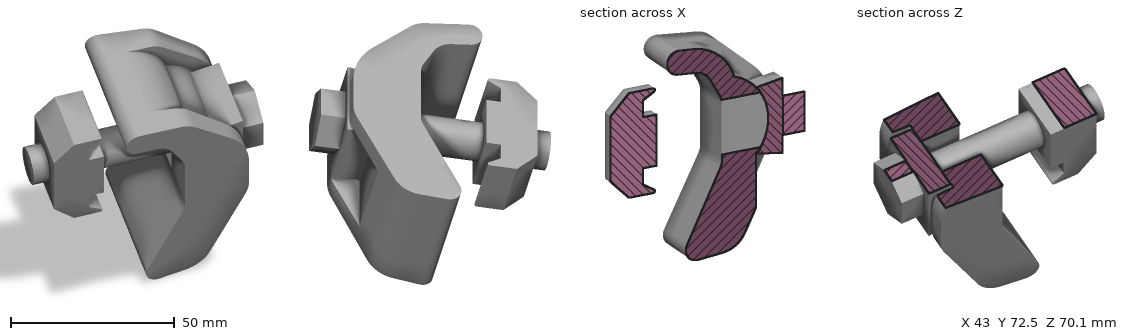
import cadquery as cq
import math


shank_diameter = 12.0
shank_length = 64.9
head_height = 7.6
head_across_flats = 17.9

washer_width = 24.4
washer_height = 24.8
washer_taper = 9.0
saddle_top_y = -5.15
saddle_radius = 16.7

back_y = -0.3
inner_y = -21.1
upper_back_corner = (back_y, 9.9)
lower_back_corner = (back_y, -11.0)
shoulder_y = -19.8
hook_tilt = math.radians(5)
hook_radius = 4.0
hook_center = (-36.2, 24.0)
hook_root_y = -26.9
upper_inner_corner = (inner_y, 9.05)
lower_inner_corner = (inner_y, -11.95)
toe_front_corner = (-36.5, -42.7)
toe_back_corner = (-15.45, -40.8)
upper_back_radius = 17.05
shoulder_radius = 8.0
hook_root_radius = 6.5
upper_inner_radius = 7.4
lower_inner_radius = 6.5
toe_radius = 4.0
lower_back_radius = 10.0

side_taper = math.tan(math.radians(3))
clamp_back_half_width = 19.4
channel_back_half_width = 14.0
channel_step_y = -16.75
channel_end_y = -29.95
step_radius = 17.0
saddle_lower_z = 10.9
slot_width = 13.2
slot_height = 17.8
touching = 7.25e-07
clearance = 7.25

nut_width = 20.2
nut_neck_y = -43.8
nut_shoulder_y = -48.4
nut_chamfer_y = -53.35
nut_front_y = -59.8
nut_half_height = 17.25
nut_neck_half_height = 8.5
nut_front_half_height = 10.8
lip_root_z = 13.85
lip_angle = math.radians(30)
lip_radius = 0.65


def rounded_outline(corners):
    """Closed YZ face outline from (y, z, radius) corners; radius 0 leaves a sharp corner."""
    edges = []
    ends = []
    for i, (y, z, radius) in enumerate(corners):
        corner = cq.Vector(0, y, z)
        before = (cq.Vector(0, *corners[i - 1][:2]) - corner).normalized()
        after = (cq.Vector(0, *corners[(i + 1) % len(corners)][:2]) - corner).normalized()
        half_angle = before.getAngle(after) / 2
        tangent_length = radius / math.tan(half_angle)
        start = corner + before * tangent_length
        end = corner + after * tangent_length
        ends.append((start, end))
        if radius > 0:
            bisector = (before + after).normalized()
            middle = corner + bisector * (radius / math.sin(half_angle) - radius)
            edges.append(cq.Edge.makeThreePointArc(start, middle, end))
    for i, (start, _) in enumerate(ends):
        previous_end = ends[i - 1][1]
        if (start - previous_end).Length > touching:
            edges.append(cq.Edge.makeLine(previous_end, start))
    return cq.Wire.combine(edges)[0]


def extrude_profile(corners, width):
    """Solid with a rounded YZ outline, centered across X."""
    outline = rounded_outline(corners)
    solid = cq.Solid.extrudeLinear(outline, [], cq.Vector(width, 0, 0))
    return cq.Workplane(solid.translate(cq.Vector(-width / 2, 0, 0)))


def tapered_block(back_half_width, taper):
    """Tall block whose half width at back_y is given and grows by taper toward -Y."""
    y_rear = back_y + clearance
    y_front = hook_center[0] - hook_radius - clearance
    rear = back_half_width + taper * (back_y - y_rear)
    front = back_half_width + taper * (back_y - y_front)
    height = 2 * (abs(toe_front_corner[1]) + clearance)
    return (
        cq.Workplane("XY")
        .polyline([(-rear, y_rear), (rear, y_rear), (front, y_front), (-front, y_front)])
        .close()
        .extrude(height / 2, both=True)
    )


def hook_top_z(y):
    """Height of the hook's upper face, which rises toward -Y."""
    return hook_center[1] + hook_radius / math.cos(hook_tilt) + (hook_center[0] - y) * math.tan(hook_tilt)


def hook_point(forward, upward):
    """Point offset from the hook-tip center along and across the tilted hook."""
    return (
        hook_center[0] - forward * math.cos(hook_tilt) + upward * math.sin(hook_tilt),
        hook_center[1] + forward * math.sin(hook_tilt) + upward * math.cos(hook_tilt),
    )


def saddle_cylinder():
    """Cylinder across X that the washer rests on."""
    return (
        cq.Workplane("YZ")
        .center(saddle_top_y - saddle_radius, 0)
        .circle(saddle_radius)
        .extrude(washer_width, both=True)
    )


def bolt_hole():
    """Hole along the bolt axis that fits the shank."""
    return cq.Workplane("XZ").circle(shank_diameter / 2).extrude(shank_length)


def make_bolt():
    corner_diameter = head_across_flats / math.cos(math.radians(30))
    head = (
        cq.Workplane("XZ")
        .transformed(rotate=(0, 0, 90))
        .polygon(6, corner_diameter)
        .extrude(-head_height)
    )
    return head.union(bolt_hole())


def make_washer():
    half_height = washer_height / 2
    depth = saddle_radius - saddle_top_y
    end_half_height = half_height - depth * math.tan(math.radians(washer_taper))
    block = (
        cq.Workplane("YZ")
        .polyline([
            (0, half_height),
            (-depth, end_half_height),
            (-depth, -end_half_height),
            (0, -half_height),
        ])
        .close()
        .extrude(washer_width / 2, both=True)
    )
    return block.cut(saddle_cylinder()).cut(bolt_hole())


def saddle_point(angle):
    """Point on the saddle at an angle above the bolt axis."""
    return (
        saddle_top_y - saddle_radius * (1 - math.cos(angle)),
        saddle_radius * math.sin(angle),
    )


def make_channel():
    """Rear channel: a saddle for the washer, with a rounded step above it up to the hook."""
    rear_y = back_y + clearance
    top_z = hook_top_z(channel_end_y)
    step_angle = math.acos(1 - (saddle_top_y - channel_step_y) / saddle_radius)
    step = saddle_point(step_angle)
    lower = saddle_point(-math.asin(saddle_lower_z / saddle_radius))
    cutter = (
        cq.Workplane("YZ")
        .moveTo(*lower)
        .threePointArc(saddle_point(0), step)
        .radiusArc((channel_end_y, top_z), -step_radius)
        .lineTo(channel_end_y, top_z + clearance)
        .lineTo(rear_y, top_z + clearance)
        .lineTo(rear_y, toe_front_corner[1])
        .lineTo(lower[0], toe_front_corner[1])
        .close()
        .extrude(clamp_back_half_width, both=True)
    )
    return cutter.intersect(tapered_block(channel_back_half_width, -side_taper))


def make_clamp():
    hook_root_z = hook_top_z(hook_root_y) - 2 * hook_radius / math.cos(hook_tilt)
    corners = [
        (*upper_back_corner, upper_back_radius),
        (shoulder_y, hook_top_z(shoulder_y), shoulder_radius),
        (*hook_point(hook_radius, hook_radius), hook_radius),
        (*hook_point(hook_radius, -hook_radius), hook_radius),
        (hook_root_y, hook_root_z, hook_root_radius),
        (*upper_inner_corner, upper_inner_radius),
        (*lower_inner_corner, lower_inner_radius),
        (*toe_front_corner, toe_radius),
        (*toe_back_corner, lower_back_radius),
        (*lower_back_corner, lower_back_radius),
    ]
    body = extrude_profile(corners, 4 * clamp_back_half_width)
    body = body.intersect(tapered_block(clamp_back_half_width, side_taper))
    bolt_slot = cq.Workplane("XZ").rect(slot_width, slot_height).extrude(shank_length)
    return body.cut(make_channel()).cut(bolt_slot)


def make_nut():
    lip_tip_y = nut_shoulder_y + (nut_half_height - lip_root_z) / math.tan(lip_angle)
    upper = [
        (nut_neck_y, nut_neck_half_height, 0),
        (nut_shoulder_y, nut_neck_half_height, 0),
        (nut_shoulder_y, lip_root_z, 0),
        (lip_tip_y, nut_half_height, lip_radius),
        (nut_chamfer_y, nut_half_height, 0),
        (nut_front_y, nut_front_half_height, 0),
    ]
    lower = [(y, -z, radius) for y, z, radius in reversed(upper)]
    return extrude_profile(upper + lower, nut_width).cut(bolt_hole())


bolt = make_bolt()
washer = make_washer()
clamp = make_clamp()
nut = make_nut()

result = cq.Compound.makeCompound([bolt.val(), washer.val(), clamp.val(), nut.val()])